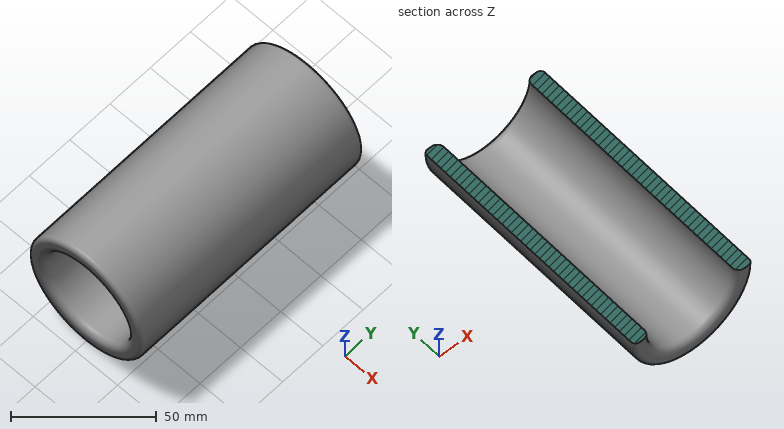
import cadquery as cq

length = 110.0
outer_diameter = 54.0
bore_diameter = 40.0
outer_rim_radius = 2.0
bore_rim_radius = 3.0

half_length = length / 2


def rod_along_y(diameter):
    """Solid cylinder centred on the origin with its axis along Y."""
    return cq.Workplane("XZ", origin=(0, half_length, 0)).circle(diameter / 2).extrude(length)


body = rod_along_y(outer_diameter).faces("<Y or >Y").edges().fillet(outer_rim_radius)

sleeve = body.cut(rod_along_y(bore_diameter))
bore_mouths = sleeve.faces("<Y or >Y").edges(cq.selectors.RadiusNthSelector(0))
result = bore_mouths.fillet(bore_rim_radius)